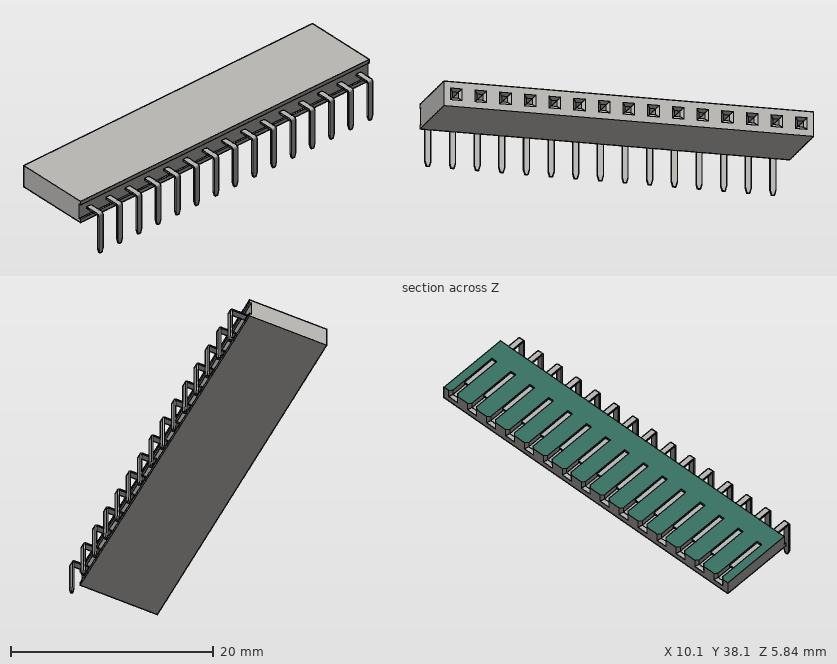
import cadquery as cq

PITCH = 2.54
CONTACT_COUNT = 15
OVERALL_DEPTH = 10.13
OVERALL_HEIGHT = 5.84
HOUSING_DEPTH = 8.51
HOUSING_HEIGHT = 2.54
HOUSING_LENGTH = CONTACT_COUNT * PITCH

CHANNEL_DEPTH = 0.2
LIP_HEIGHT = 0.42
CHANNEL_HEIGHT = HOUSING_HEIGHT - 2 * LIP_HEIGHT

MOUTH_SIZE = 1.2
SOCKET_SIZE = 0.6
MOUTH_DEPTH = 0.3
SOCKET_DEPTH = 6.0

PIN_WIDTH = SOCKET_SIZE
PIN_THICKNESS = 0.2
BEND_RADIUS = 0.3
PIN_START = 2.0
TIP_LENGTH = 0.5
TIP_WIDTH = 0.3
PIN_END_Z = HOUSING_HEIGHT / 2 - OVERALL_HEIGHT


def make_housing():
    bar = cq.Workplane("XY").box(
        HOUSING_DEPTH, HOUSING_LENGTH, HOUSING_HEIGHT, centered=(False, True, True)
    )
    channel = (
        cq.Workplane("XY")
        .box(CHANNEL_DEPTH, HOUSING_LENGTH, CHANNEL_HEIGHT, centered=(False, True, True))
        .translate((HOUSING_DEPTH - CHANNEL_DEPTH, 0, 0))
    )
    return bar.cut(channel)


def make_socket(y):
    mouth = (
        cq.Workplane("YZ", origin=(0, y, 0))
        .rect(MOUTH_SIZE, MOUTH_SIZE)
        .workplane(offset=MOUTH_DEPTH)
        .rect(SOCKET_SIZE, SOCKET_SIZE)
        .loft()
    )
    hole = (
        cq.Workplane("YZ", origin=(MOUTH_DEPTH, y, 0))
        .rect(SOCKET_SIZE, SOCKET_SIZE)
        .extrude(SOCKET_DEPTH - MOUTH_DEPTH)
    )
    return mouth.union(hole)


def make_contact(y):
    half_thickness = PIN_THICKNESS / 2
    half_width = PIN_WIDTH / 2
    inner_x = OVERALL_DEPTH - PIN_THICKNESS

    strip = (
        cq.Workplane("XZ", origin=(0, y + half_width, 0))
        .moveTo(PIN_START, half_thickness)
        .lineTo(OVERALL_DEPTH - BEND_RADIUS, half_thickness)
        .radiusArc((OVERALL_DEPTH, half_thickness - BEND_RADIUS), BEND_RADIUS)
        .lineTo(OVERALL_DEPTH, PIN_END_Z)
        .lineTo(inner_x, PIN_END_Z)
        .lineTo(inner_x, -half_thickness)
        .lineTo(PIN_START, -half_thickness)
        .close()
        .extrude(PIN_WIDTH)
    )

    for side in (-1, 1):
        corner = (
            cq.Workplane("YZ", origin=(inner_x, y, 0))
            .moveTo(side * half_width, PIN_END_Z)
            .lineTo(side * half_width, PIN_END_Z + TIP_LENGTH)
            .lineTo(side * TIP_WIDTH / 2, PIN_END_Z)
            .close()
            .extrude(PIN_THICKNESS)
        )
        strip = strip.cut(corner)
    return strip


contact_positions = [
    (index - (CONTACT_COUNT - 1) / 2) * PITCH for index in range(CONTACT_COUNT)
]

result = make_housing()
for position in contact_positions:
    result = result.cut(make_socket(position))
for position in contact_positions:
    result = result.union(make_contact(position))